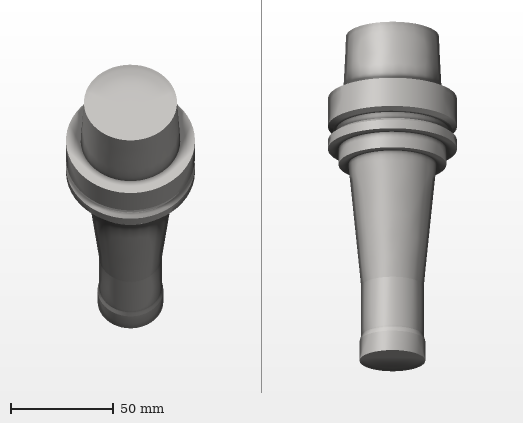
import cadquery as cq

flange_diameter = 63.0
groove_diameter = 55.0
collar_diameter = 52.6
neck_diameter = 30.5
tip_diameter = 32.0
shank_top_diameter = 45.5
shank_base_diameter = 48.6
body_top_diameter = 43.1

total_height = 167.0
tip_height = 10.0
tip_cone_top = 12.5
neck_top = 38.0
body_top = 101.0
flange_bottom = 109.0
groove_bottom = 115.2
groove_top = 118.9
flange_top = 135.1

chamfer_height = 1.7
chamfer_depth = 2.3

flange_radius = flange_diameter / 2
groove_radius = groove_diameter / 2
collar_radius = collar_diameter / 2
neck_radius = neck_diameter / 2
tip_radius = tip_diameter / 2
chamfer_radius = flange_radius - chamfer_depth

tip_and_neck = [
    (0, 0),
    (tip_radius, 0),
    (tip_radius, tip_height),
    (neck_radius, tip_cone_top),
    (neck_radius, neck_top),
]
tapered_body = [
    (body_top_diameter / 2, body_top),
]
collar = [
    (collar_radius, body_top),
    (collar_radius, flange_bottom),
]
grooved_flange = [
    (flange_radius, flange_bottom),
    (flange_radius, groove_bottom - chamfer_height),
    (chamfer_radius, groove_bottom),
    (groove_radius, groove_bottom),
    (groove_radius, groove_top),
    (chamfer_radius, groove_top),
    (flange_radius, groove_top + chamfer_height),
    (flange_radius, flange_top),
]
tapered_shank = [
    (shank_base_diameter / 2, flange_top),
    (shank_top_diameter / 2, total_height),
    (0, total_height),
]

profile = tip_and_neck + tapered_body + collar + grooved_flange + tapered_shank
result = (
    cq.Workplane("XZ")
    .polyline(profile)
    .close()
    .revolve(360, (0, 0, 0), (0, 1, 0))
)